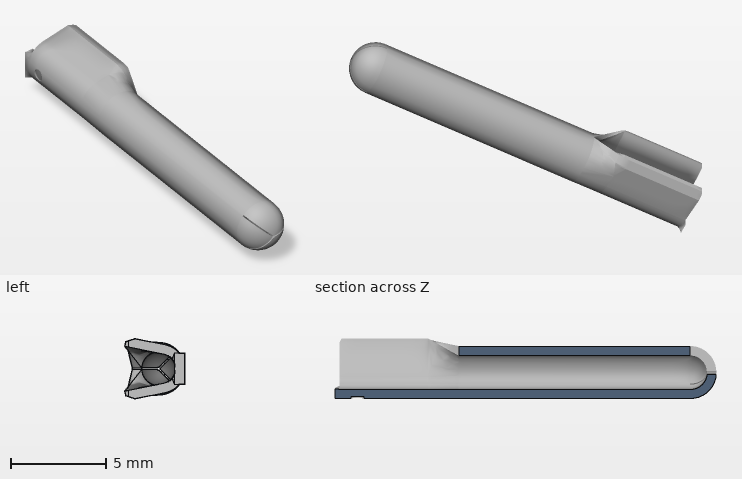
import cadquery as cq
import math

total_length = 20.05
barrel_start = 0.26
barrel_end = 4.9
tube_start = 6.5

tube_radius = 1.38
wall = 0.5
bore_radius = tube_radius - wall
slot_width = 0.08
slot_angles = (90, 225, 315)
tip_hole_diameter = 0.16
dome_start = total_length - math.sqrt(tube_radius**2 - (tip_hole_diameter / 2) ** 2)

barrel_radius = 1.28
barrel_inner_radius = barrel_radius - wall
barrel_center_y = barrel_radius - tube_radius
shoulder = (1.25, 1.58)
bevel_end = (1.73, 1.42)
arm_tip = (1.79, 5.9)
tip_chamfer_length = 0.1
tip_chamfer_depth = 0.2

seam_half_gap = 0.05
rolled_floor_angle = math.radians(115)
rolled_bevel_angle = math.radians(15)
barrel_end_rounding = 1.0

tab_half_width = 0.82
tab_thickness = 0.55

recess_x = 1.18
recess_diameter = 0.66
recess_depth = 0.1

position_tolerance = 0.002

shoulder_distance = math.hypot(shoulder[0] - barrel_center_y, shoulder[1])
shoulder_angle = math.atan2(shoulder[1], shoulder[0] - barrel_center_y)
arm_angle = shoulder_angle + math.acos(barrel_radius / shoulder_distance)
arm_direction = (math.sin(arm_angle), -math.cos(arm_angle))

arm_bend_y = 0.45
arm_bend = (arm_bend_y, shoulder[1] - (shoulder[0] - arm_bend_y) * arm_direction[1] / arm_direction[0])
arm_plane_distance = arm_bend[0] * math.cos(arm_angle) + arm_bend[1] * math.sin(arm_angle)
bend_angle = arm_angle - math.acos(arm_plane_distance / tube_radius)


def polar(radius, angle, center_y=0.0):
    """Point (y, z) at an angle from +Y about a centre on the Y axis."""
    return (center_y + radius * math.cos(angle), radius * math.sin(angle))


def mirrored(point):
    return (point[0], -point[1])


def at_x(x, point):
    return cq.Vector(x, point[0], point[1])


def line(x, start, end):
    return cq.Edge.makeLine(at_x(x, start), at_x(x, end))


def arc(x, radius, start_angle, end_angle, center_y=0.0):
    angles = (start_angle, (start_angle + end_angle) / 2, end_angle)
    points = [at_x(x, polar(radius, angle, center_y)) for angle in angles]
    return cq.Edge.makeThreePointArc(*points)


def barrel_section(x):
    """Outline of the U-shaped wall: upper arm, inside of the floor, lower arm, outside of the floor."""
    outer_tangent = polar(barrel_radius, arm_angle, barrel_center_y)
    inner_tangent = polar(barrel_inner_radius, arm_angle, barrel_center_y)
    run = (arm_tip[0] - inner_tangent[0]) / arm_direction[0]
    inner_tip = (arm_tip[0], inner_tangent[1] + run * arm_direction[1])
    lip_points = [outer_tangent, arm_bend, shoulder, bevel_end, inner_tip, inner_tangent]
    upper = [line(x, a, b) for a, b in zip(lip_points, lip_points[1:])]
    lower = [line(x, mirrored(b), mirrored(a)) for a, b in zip(lip_points, lip_points[1:])]
    far_angle = 2 * math.pi - arm_angle
    outer_floor = arc(x, barrel_radius, far_angle, arm_angle, barrel_center_y)
    inner_floor = arc(x, barrel_inner_radius, arm_angle, far_angle, barrel_center_y)
    return cq.Wire.assembleEdges(upper + [inner_floor] + lower[::-1] + [outer_floor])


def rolled_section(x):
    """The same wall rolled into a ring that is open only at a narrow seam on +Y."""
    outer_seam = math.asin(seam_half_gap / tube_radius)
    inner_seam = math.asin(seam_half_gap / bore_radius)
    full = 2 * math.pi
    edges = [
        arc(x, tube_radius, rolled_floor_angle, bend_angle),
        arc(x, tube_radius, bend_angle, rolled_bevel_angle),
        arc(x, tube_radius, rolled_bevel_angle, outer_seam),
        line(x, polar(tube_radius, outer_seam), polar(bore_radius, inner_seam)),
        arc(x, bore_radius, inner_seam, arm_angle),
        arc(x, bore_radius, arm_angle, full - arm_angle),
        arc(x, bore_radius, full - arm_angle, full - inner_seam),
        line(x, polar(bore_radius, -inner_seam), polar(tube_radius, -outer_seam)),
        arc(x, tube_radius, full - outer_seam, full - rolled_bevel_angle),
        arc(x, tube_radius, full - rolled_bevel_angle, full - bend_angle),
        arc(x, tube_radius, full - bend_angle, full - rolled_floor_angle),
        arc(x, tube_radius, full - rolled_floor_angle, rolled_floor_angle),
    ]
    return cq.Wire.assembleEdges(edges)


def make_barrel():
    front = cq.Face.makeFromWires(barrel_section(barrel_start))
    barrel = cq.Workplane(cq.Solid.extrudeLinear(front, cq.Vector(barrel_end - barrel_start, 0, 0)))
    corner = (
        cq.Workplane("XY")
        .polyline([
            (barrel_start, arm_tip[0] - tip_chamfer_depth),
            (barrel_start + tip_chamfer_length, arm_tip[0]),
            (barrel_start, arm_tip[0]),
        ])
        .close()
        .extrude(shoulder[1], both=True)
    )
    recess = (
        cq.Workplane("XZ", origin=(recess_x, -tube_radius + recess_depth, 0))
        .circle(recess_diameter / 2)
        .extrude(wall)
    )
    return barrel.cut(corner).cut(recess)


def make_transition():
    return cq.Solid.makeLoft([barrel_section(barrel_end), rolled_section(tube_start)], True)


def make_tube():
    """Hollow tube with a hollow dome, slotted along three meridians and pierced at its tip."""
    tube = (
        cq.Workplane("XY")
        .moveTo(tube_start, bore_radius)
        .lineTo(dome_start, bore_radius)
        .radiusArc((dome_start + bore_radius, 0), bore_radius)
        .lineTo(dome_start + tube_radius, 0)
        .radiusArc((dome_start, tube_radius), -tube_radius)
        .lineTo(tube_start, tube_radius)
        .close()
        .revolve(360, (0, 0, 0), (1, 0, 0))
    )
    for angle in slot_angles:
        slot = (
            cq.Workplane("XY", origin=(dome_start, 0, 0))
            .box(tube_radius, tube_radius, slot_width, centered=(False, False, True))
            .rotate((0, 0, 0), (1, 0, 0), angle - 90)
        )
        tube = tube.cut(slot)
    tip_hole = cq.Workplane("YZ", origin=(dome_start, 0, 0)).circle(tip_hole_diameter / 2)
    return tube.cut(tip_hole.extrude(tube_radius))


def make_tab():
    """Piece of the floor that flattens into a straight strip at its free end."""
    half_angle = math.asin(tab_half_width / barrel_radius)
    start_angle = math.pi - half_angle
    end_angle = math.pi + half_angle

    def corner(radius, angle):
        return polar(radius, angle, barrel_center_y)

    root = cq.Wire.assembleEdges([
        arc(barrel_start, barrel_radius, start_angle, end_angle, barrel_center_y),
        line(barrel_start, corner(barrel_radius, end_angle), corner(barrel_inner_radius, end_angle)),
        arc(barrel_start, barrel_inner_radius, end_angle, start_angle, barrel_center_y),
        line(barrel_start, corner(barrel_inner_radius, start_angle), corner(barrel_radius, start_angle)),
    ])
    strip_center = (-tube_radius + tab_thickness / 2, 0)
    strip = [
        (strip_center[0] + side_y * tab_thickness / 2, side_z * tab_half_width)
        for side_y, side_z in ((-1, 1), (-1, -1), (1, -1), (1, 1))
    ]
    free_end = cq.Wire.assembleEdges([line(0, a, b) for a, b in zip(strip, strip[1:] + strip[:1])])
    return cq.Solid.makeLoft([free_end, root], True)


def touches_shoulder(edge):
    """True for an edge in the barrel's end plane that has one end on a shoulder line."""
    box = edge.BoundingBox()
    in_end_plane = max(abs(box.xmin - barrel_end), abs(box.xmax - barrel_end)) < position_tolerance
    farthest_z = max(abs(edge.startPoint().z), abs(edge.endPoint().z))
    return in_end_plane and abs(farthest_z - shoulder[1]) < position_tolerance


sharp_part = make_barrel().union(make_transition()).union(make_tube()).union(make_tab()).val()
rounded_edges = [edge for edge in sharp_part.Edges() if touches_shoulder(edge)]
result = cq.Workplane(sharp_part.fillet(barrel_end_rounding, rounded_edges))